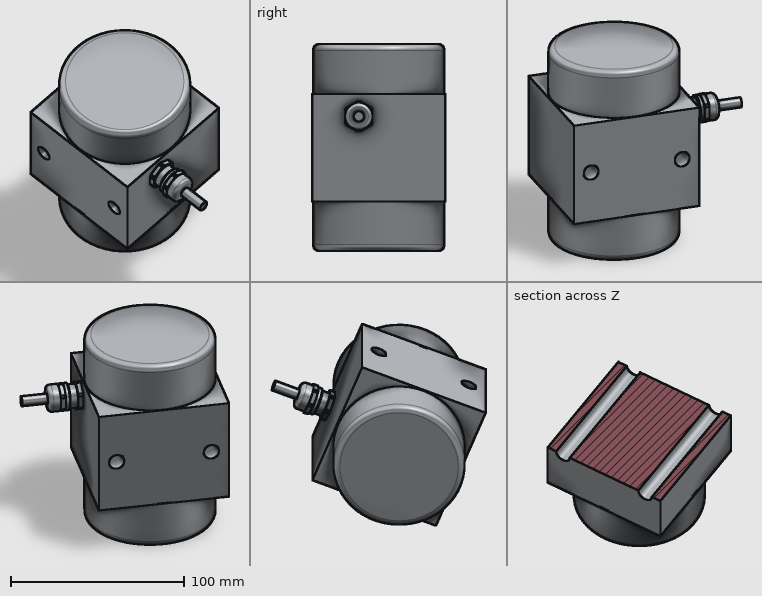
import cadquery as cq

BLOCK_WIDTH = 77.0
BLOCK_HEIGHT = 62.0
MOUNT_HOLE_DIAMETER = 9.0
MOUNT_HOLE_SPACING = 56.0

COVER_FILLET = 3.8
TOP_COVER_DIAMETER = 76.0
TOP_COVER_HEIGHT = 29.0
BOTTOM_COVER_DIAMETER = 76.0
BOTTOM_COVER_HEIGHT = 28.8

GLAND_Y = -11.5
GLAND_DROP = 12.9
GLAND_Z = BLOCK_HEIGHT / 2 - GLAND_DROP
HEX_FLATS = 16.0
HEX_CORNER_DIAMETER = 17.6
HEX_LENGTH = 3.0
NECK_DIAMETER = 14.0
NECK_LENGTH = 4.5
COLLAR_DIAMETER = 16.0
COLLAR_LENGTH = 2.8
COLLAR_CHAMFER = 0.5
NUT_HEX_CHAMFER = 0.4
DOME_DIAMETER = 16.0
DOME_LENGTH = 6.7
DOME_FILLET = 2.5

CABLE_DIAMETER = 6.0
CABLE_TIP = 35.0

NECK_START = HEX_LENGTH
COLLAR_START = NECK_START + NECK_LENGTH
NUT_HEX_START = COLLAR_START + COLLAR_LENGTH
DOME_START = NUT_HEX_START + HEX_LENGTH
GLAND_LENGTH = DOME_START + DOME_LENGTH


def make_block():
    """Square block with two mounting holes running through along Y."""
    half_spacing = MOUNT_HOLE_SPACING / 2
    holes = (
        cq.Workplane("XZ")
        .pushPoints([(-half_spacing, 0), (half_spacing, 0)])
        .circle(MOUNT_HOLE_DIAMETER / 2)
        .extrude(BLOCK_WIDTH / 2, both=True)
    )
    return cq.Workplane("XY").box(BLOCK_WIDTH, BLOCK_WIDTH, BLOCK_HEIGHT).cut(holes)


def make_top_cover():
    """Disc on top of the block with a rounded upper rim."""
    return (
        cq.Workplane("XY", origin=(0, 0, BLOCK_HEIGHT / 2))
        .circle(TOP_COVER_DIAMETER / 2)
        .extrude(TOP_COVER_HEIGHT)
        .faces(">Z")
        .edges()
        .fillet(COVER_FILLET)
    )


def make_bottom_cover():
    """Disc under the block with a rounded lower rim."""
    return (
        cq.Workplane("XY", origin=(0, 0, -BLOCK_HEIGHT / 2))
        .circle(BOTTOM_COVER_DIAMETER / 2)
        .extrude(-BOTTOM_COVER_HEIGHT)
        .faces("<Z")
        .edges()
        .fillet(COVER_FILLET)
    )


def gland_plane(distance):
    """Workplane across the gland axis, at a distance outward from the block face."""
    return cq.Workplane("YZ", origin=(BLOCK_WIDTH / 2 + distance, GLAND_Y, GLAND_Z))


def gland_cylinder(start, length, diameter):
    """Round section on the gland axis, starting at a distance from the block face."""
    return gland_plane(start).circle(diameter / 2).extrude(length)


def gland_hexagon(start, inner_chamfer=0):
    """Hexagon with flats facing +Y and -Y and its corners turned down to a circle."""
    hexagon = (
        gland_plane(start)
        .polygon(6, HEX_FLATS, circumscribed=True)
        .extrude(HEX_LENGTH)
    )
    corner_limit = gland_cylinder(start, HEX_LENGTH, HEX_CORNER_DIAMETER)
    if inner_chamfer:
        corner_limit = corner_limit.faces("<X").edges().chamfer(inner_chamfer)
    return hexagon.intersect(corner_limit)


def make_gland():
    """Gland: base hexagon, neck, chamfered collar, nut hexagon and rounded dome."""
    neck = gland_cylinder(NECK_START, NECK_LENGTH, NECK_DIAMETER)
    collar = gland_cylinder(COLLAR_START, COLLAR_LENGTH, COLLAR_DIAMETER)
    collar = collar.faces("<X").edges().chamfer(COLLAR_CHAMFER)
    dome = gland_cylinder(DOME_START, DOME_LENGTH, DOME_DIAMETER)
    dome = dome.faces(">X").edges().fillet(DOME_FILLET)
    return (
        gland_hexagon(0)
        .union(neck)
        .union(collar)
        .union(gland_hexagon(NUT_HEX_START, NUT_HEX_CHAMFER))
        .union(dome)
    )


def make_cable():
    """Cable reaching from the outer face of the gland to its free end."""
    return gland_cylinder(GLAND_LENGTH, CABLE_TIP - GLAND_LENGTH, CABLE_DIAMETER)


block = make_block()
top_cover = make_top_cover()
bottom_cover = make_bottom_cover()
gland = make_gland()
cable = make_cable()

result = cq.Compound.makeCompound(
    [block.val(), top_cover.val(), bottom_cover.val(), gland.val(), cable.val()]
)